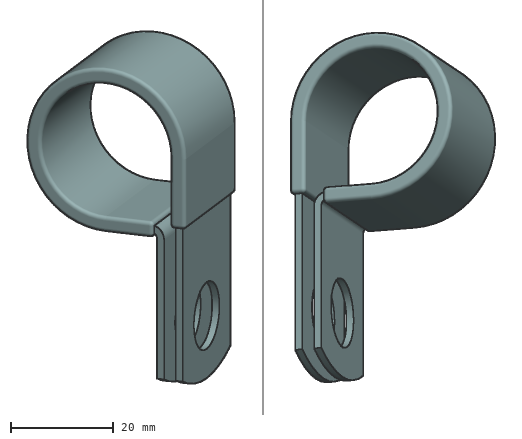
import cadquery as cq
import math

height = 65.0
outer_diameter = 33.2
cushion_width = 27.0

strap_thickness = 1.5
strap_width = 25.35
cushion_cover = (cushion_width - strap_width) / 2
cushion_thickness = strap_thickness + 2 * cushion_cover
cushion_round = 0.8

outer_radius = outer_diameter / 2
strap_outer_radius = outer_radius - cushion_cover
strap_inner_radius = strap_outer_radius - strap_thickness
inner_radius = outer_radius - cushion_thickness

side_end_z = -14.3
floor_end_x = 9.9

inner_leg_outer_x = 11.9
bend_outer_radius = 2.7
bend_inner_radius = bend_outer_radius - strap_thickness
bend_center_x = inner_leg_outer_x - bend_outer_radius
bend_center_z = -strap_inner_radius - bend_outer_radius

leg_bottom_z = outer_radius - height
leg_end_sag = 3.0
hole_diameter = 13.5
hole_center_height = 12.75
hole_center_z = leg_bottom_z + hole_center_height


def loop_band(outer, inner, side_z, floor_x, width):
    """Three-quarter loop with a straight side at +X and a straight floor."""
    diagonal = math.sqrt(0.5)
    return (
        cq.Workplane("XZ")
        .moveTo(outer, side_z)
        .lineTo(outer, 0)
        .threePointArc((-outer * diagonal, outer * diagonal), (0, -outer))
        .lineTo(floor_x, -outer)
        .lineTo(floor_x, -inner)
        .lineTo(0, -inner)
        .threePointArc((-inner * diagonal, inner * diagonal), (inner, 0))
        .lineTo(inner, side_z)
        .close()
        .extrude(width / 2, both=True)
    )


def make_cushion():
    """Rubber cushion with rounded rims and rounded ends."""
    band = loop_band(outer_radius, inner_radius, side_end_z, floor_end_x, cushion_width)
    side_end = (outer_radius - cushion_thickness / 2, 0, side_end_z)
    floor_end = (floor_end_x, 0, -outer_radius + cushion_thickness / 2)
    rims = band.faces("<Y or >Y").edges()
    side_edges = band.faces(cq.selectors.NearestToPointSelector(side_end)).edges("|Y")
    floor_edges = band.faces(cq.selectors.NearestToPointSelector(floor_end)).edges("|Y")
    return rims.add(side_edges).add(floor_edges).fillet(cushion_round)


def make_strap():
    """Bent metal strap: loop, outer leg and bent inner leg."""
    loop = loop_band(
        strap_outer_radius, strap_inner_radius, leg_bottom_z, bend_center_x, strap_width
    )
    outer_offset = bend_outer_radius * math.sqrt(0.5)
    inner_offset = bend_inner_radius * math.sqrt(0.5)
    inner_leg = (
        cq.Workplane("XZ")
        .moveTo(bend_center_x, -strap_inner_radius)
        .threePointArc(
            (bend_center_x + outer_offset, bend_center_z + outer_offset),
            (inner_leg_outer_x, bend_center_z),
        )
        .lineTo(inner_leg_outer_x, leg_bottom_z)
        .lineTo(bend_center_x + bend_inner_radius, leg_bottom_z)
        .lineTo(bend_center_x + bend_inner_radius, bend_center_z)
        .threePointArc(
            (bend_center_x + inner_offset, bend_center_z + inner_offset),
            (bend_center_x, -strap_outer_radius),
        )
        .close()
        .extrude(strap_width / 2, both=True)
    )
    return loop.union(inner_leg)


def make_leg_outline():
    """Face-on outline of the strap, with arched leg ends and the bolt hole."""
    half_width = strap_width / 2
    corner_z = leg_bottom_z + leg_end_sag
    outline = (
        cq.Workplane("YZ")
        .moveTo(-half_width, outer_radius)
        .lineTo(-half_width, corner_z)
        .threePointArc((0, leg_bottom_z), (half_width, corner_z))
        .lineTo(half_width, outer_radius)
        .close()
        .extrude(outer_diameter, both=True)
    )
    hole = (
        cq.Workplane("YZ")
        .center(0, hole_center_z)
        .circle(hole_diameter / 2)
        .extrude(outer_diameter, both=True)
    )
    return outline.cut(hole)


strap = make_strap().intersect(make_leg_outline())
result = make_cushion().union(strap)